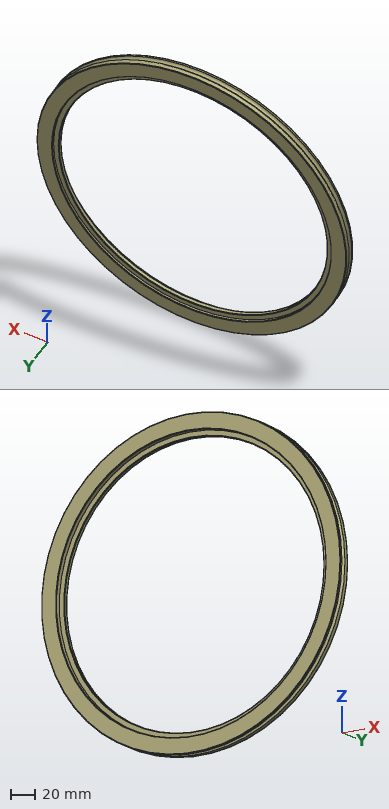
import cadquery as cq

outer_radius = 145.0
thickness = 12.0
front_y = -thickness / 2
back_y = thickness / 2

bore_radius = 125.5
recess_radius = 130.5
front_recess_depth = 5.0
back_recess_depth = 2.5
land_front_y = front_y + front_recess_depth
land_back_y = back_y - back_recess_depth

groove_y = -1.3
groove_half_width = 2.3
groove_depth = 2.3
arch_bulge_depth = 1.7
arch_bulge_half_width = 1.5

edge_chamfer = 0.5


def ring_section():
    """Half section of the ring: X is the radius, Y is the axis."""
    return (
        cq.Workplane("XY")
        .moveTo(bore_radius, land_front_y + edge_chamfer)
        .lineTo(bore_radius + edge_chamfer, land_front_y)
        .lineTo(recess_radius, land_front_y)
        .lineTo(recess_radius, front_y + edge_chamfer)
        .lineTo(recess_radius + edge_chamfer, front_y)
        .lineTo(outer_radius - edge_chamfer, front_y)
        .lineTo(outer_radius, front_y + edge_chamfer)
        .lineTo(outer_radius, groove_y - groove_half_width)
        .threePointArc(
            (outer_radius - arch_bulge_depth, groove_y - arch_bulge_half_width),
            (outer_radius - groove_depth, groove_y),
        )
        .threePointArc(
            (outer_radius - arch_bulge_depth, groove_y + arch_bulge_half_width),
            (outer_radius, groove_y + groove_half_width),
        )
        .lineTo(outer_radius, back_y - edge_chamfer)
        .lineTo(outer_radius - edge_chamfer, back_y)
        .lineTo(recess_radius + edge_chamfer, back_y)
        .lineTo(recess_radius, back_y - edge_chamfer)
        .lineTo(recess_radius, land_back_y)
        .lineTo(bore_radius + edge_chamfer, land_back_y)
        .lineTo(bore_radius, land_back_y - edge_chamfer)
        .close()
    )


result = ring_section().revolve(360, (0, 0, 0), (0, 1, 0))